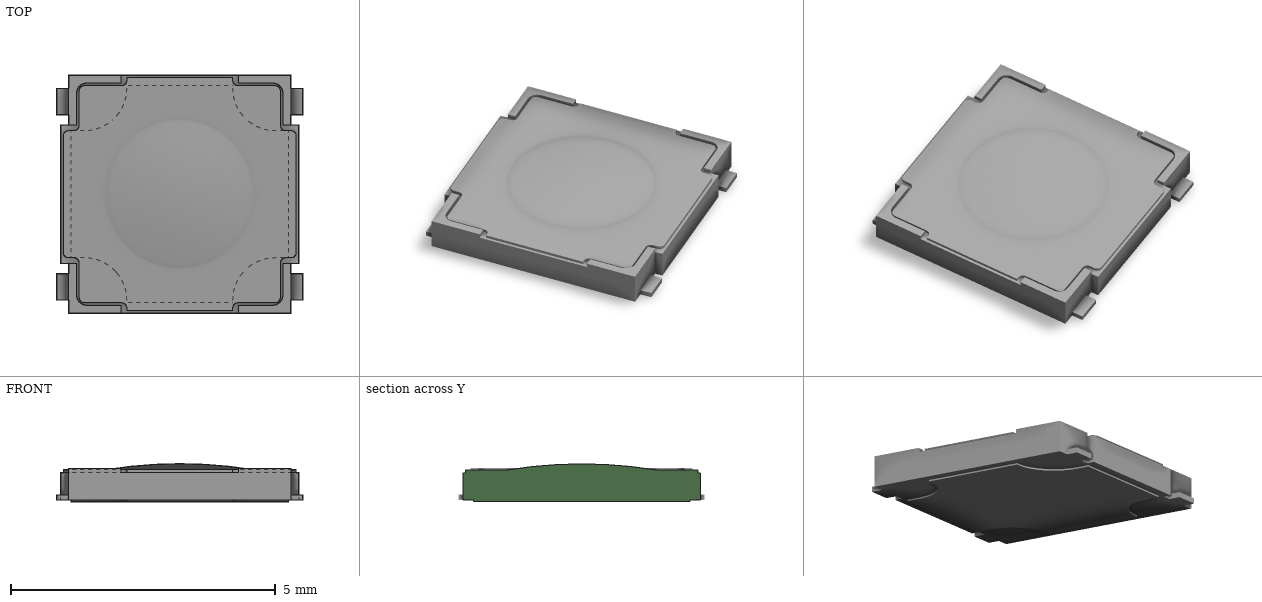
import cadquery as cq

housing_x = 4.2
housing_y = 4.5
housing_height = 0.6
corner_wall = 0.15
recess_depth = 0.08
recess_corner_radius = 0.2

band_x = 4.5
band_y = 2.62
front_opening_x = 2.21

lead_span_x = 4.65
lead_width = 0.5
lead_thickness = 0.1
lead_pitch_y = 3.5

film_thickness = 0.055
film_gap = 0.05
film_span = 4.4
side_tab_width = 2.4
front_tab_width = 2.0
film_radius = 0.1

base_film_thickness = 0.03
base_film_span = 4.1
base_film_root_radius = 0.8

dome_radius = 1.4
overall_height = 0.72

housing_bottom = base_film_thickness
housing_top = housing_bottom + housing_height
recess_floor = housing_top - recess_depth
film_top = recess_floor + film_thickness
dome_height = overall_height - film_top

recess_x = housing_x - 2 * corner_wall
recess_y = housing_y - 2 * corner_wall


def block(size_x, size_y, bottom, top):
    """Box centred on the Z axis between two levels."""
    return cq.Workplane("XY", origin=(0, 0, bottom)).rect(size_x, size_y).extrude(top - bottom)


def make_housing():
    body = block(housing_x, housing_y, housing_bottom, housing_top)
    bands = block(band_x, band_y, housing_bottom, recess_floor)
    recess = block(recess_x, recess_y, recess_floor, housing_top)
    recess = recess.edges("|Z").fillet(recess_corner_radius)
    side_opening = block(band_x, band_y, recess_floor, housing_top)
    front_opening = block(front_opening_x, housing_y, recess_floor, housing_top)
    return body.cut(recess).cut(side_opening).cut(front_opening).union(bands)


def tabbed_cross(span, bottom, top, tip_radius=0):
    """Two crossing strips, span long, whose ends form a tab towards each side."""
    side_tabs = block(span, side_tab_width, bottom, top)
    if tip_radius > 0:
        side_tabs = side_tabs.edges("|Z").fillet(tip_radius)
    return side_tabs.union(block(front_tab_width, span, bottom, top))


def fillet_tab_roots(film, root_x, root_y, radius):
    """Round the upright edge at (root_x, root_y) in all four quadrants."""
    level = film.val().Center().z
    for sign_x in (-1, 1):
        for sign_y in (-1, 1):
            root = (sign_x * root_x, sign_y * root_y, level)
            nearest = cq.selectors.NearestToPointSelector(root)
            film = film.edges("|Z").edges(nearest).fillet(radius)
    return film


def make_cover_film():
    centre_x = recess_x - 2 * film_gap
    centre_y = recess_y - 2 * film_gap
    centre = block(centre_x, centre_y, recess_floor, film_top).edges("|Z").fillet(film_radius)
    film = centre.union(tabbed_cross(film_span, recess_floor, film_top, film_radius))
    film = fillet_tab_roots(film, centre_x / 2, side_tab_width / 2, film_radius)
    return fillet_tab_roots(film, front_tab_width / 2, centre_y / 2, film_radius)


def make_base_film():
    film = tabbed_cross(base_film_span, bottom=0, top=housing_bottom)
    return fillet_tab_roots(film, front_tab_width / 2, side_tab_width / 2, base_film_root_radius)


def make_leads():
    leads = cq.Workplane("XY")
    for side in (-1, 1):
        strip = block(lead_span_x, lead_width, housing_bottom, housing_bottom + lead_thickness)
        leads = leads.add(strip.translate((0, side * lead_pitch_y / 2, 0)))
    return leads.combine()


def make_dome():
    """Spherical cap standing on the cover film."""
    sphere_radius = (dome_radius ** 2 + dome_height ** 2) / (2 * dome_height)
    sphere = cq.Workplane("XY").sphere(sphere_radius)
    sphere = sphere.translate((0, 0, overall_height - sphere_radius))
    envelope = cq.Workplane("XY", origin=(0, 0, recess_floor)).circle(dome_radius)
    return envelope.extrude(overall_height - recess_floor).intersect(sphere)


result = (
    make_housing()
    .union(make_leads())
    .union(make_cover_film())
    .union(make_base_film())
    .union(make_dome())
)